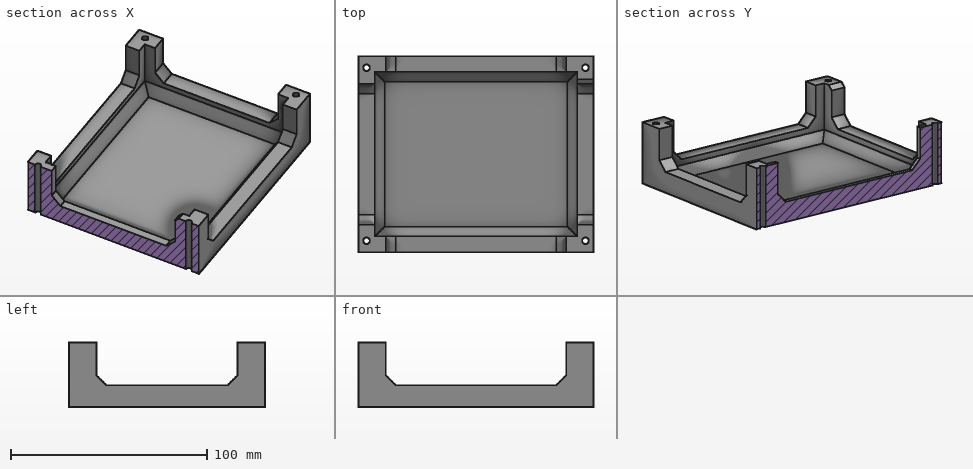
import cadquery as cq

LENGTH = 120.0
WIDTH = 100.0
HEIGHT = 33.0

WALL_X = 8.4
WALL_Y = 8.0
FLOOR = 3.0
BEVEL = 5.0

POST = 14.0
RAIL_HEIGHT = 11.2
POST_TOP_CHAMFER = 2.4

HOLE_DIAMETER = 3.2
HOLE_INSET_X = 4.2
HOLE_INSET_Y = 5.9


def make_pocket():
    """Rectangular pocket whose floor edges slope inward."""
    pocket_length = LENGTH - 2 * WALL_X
    pocket_width = WIDTH - 2 * WALL_Y
    pocket = cq.Workplane("XY").box(
        pocket_length, pocket_width, HEIGHT - FLOOR, centered=(True, True, False)
    )
    return pocket.faces("<Z").chamfer(BEVEL).translate((0, 0, FLOOR))


def make_side_opening(plane, side_length, depth):
    """Opening between the posts, cut through two opposite walls."""
    half_opening = side_length / 2 - POST
    half_rail = half_opening - BEVEL
    outline = [
        (-half_opening, HEIGHT),
        (-half_opening, RAIL_HEIGHT + BEVEL),
        (-half_rail, RAIL_HEIGHT),
        (half_rail, RAIL_HEIGHT),
        (half_opening, RAIL_HEIGHT + BEVEL),
        (half_opening, HEIGHT),
    ]
    return cq.Workplane(plane).polyline(outline).close().extrude(depth / 2, both=True)


def make_post_chamfer():
    """Wedge that bevels the top -Y edge of the post at +X, +Y."""
    post_face_y = WIDTH / 2 - POST
    outline = [
        (post_face_y, HEIGHT),
        (post_face_y + POST_TOP_CHAMFER, HEIGHT),
        (post_face_y, HEIGHT - POST_TOP_CHAMFER),
    ]
    return cq.Workplane("YZ").polyline(outline).close().extrude(LENGTH / 2)


def make_screw_holes():
    """One vertical through hole in each corner post."""
    spacing_x = LENGTH - 2 * HOLE_INSET_X
    spacing_y = WIDTH - 2 * HOLE_INSET_Y
    return (
        cq.Workplane("XY")
        .rarray(spacing_x, spacing_y, 2, 2)
        .circle(HOLE_DIAMETER / 2)
        .extrude(HEIGHT)
    )


block = cq.Workplane("XY").box(LENGTH, WIDTH, HEIGHT, centered=(True, True, False))
result = (
    block.cut(make_pocket())
    .cut(make_side_opening("XZ", LENGTH, WIDTH))
    .cut(make_side_opening("YZ", WIDTH, LENGTH))
    .cut(make_post_chamfer())
    .cut(make_screw_holes())
)